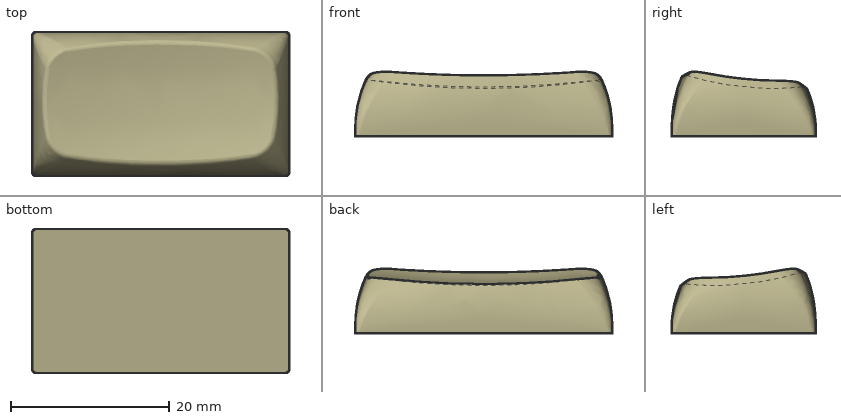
import cadquery as cq
import math

length = 32.57
width = 18.3
corner_setback = 0.6

reference_height = 7.5
wall_inset = 1.55
wall_power = 2.4
long_bulge = 0.7
end_bulge = 0.33
base_bow = 0.03
reference_tilt = 0.08
section_heights = [0, 2.28, 4.55, 6.85, 9.12]

long_seam_linear = 1.55
long_seam_quadratic = 2.48
end_seam_linear = 1.3
end_seam_quadratic = 3.0

dish_bottom = 6.05
dish_center_y = 3.75
dish_radius_x = 99.35
dish_radius_y = 37.13
dish_half_width = 16.3
rim_fillet = 0.6


def corner(before, after):
    """Rounding between two walls, tangent to both and close to a circular arc."""
    start = before.endPoint()
    end = after.startPoint()
    leaving = before.tangentAt(1)
    arriving = after.tangentAt(0)
    turn = leaving.getAngle(arriving)
    radius = (end - start).Length / (2 * math.sin(turn / 2))
    handle = 4 / 3 * math.tan(turn / 4) * radius
    return cq.Edge.makeBezier([start, start + leaving * handle, end - arriving * handle, end])


def section(height):
    """Closed, bowed and round-cornered outline on a plane tilted about X."""
    rise = height / reference_height
    inset = wall_inset * rise**wall_power
    half_x = length / 2 - inset
    half_y = width / 2 - inset
    long_bow = base_bow + (long_bulge - base_bow) * rise
    end_bow = base_bow + (end_bulge - base_bow) * rise
    seam_x = length / 2 - corner_setback - long_seam_linear * rise - long_seam_quadratic * rise**2
    seam_y = width / 2 - corner_setback - end_seam_linear * rise - end_seam_quadratic * rise**2
    long_end = (seam_x, half_y - long_bow)
    short_end = (half_x - end_bow, seam_y)

    def wall(start, middle, end):
        points = []
        for x, y in (start, middle, end):
            points.append(cq.Vector(x, y, height - reference_tilt * rise * y))
        return cq.Edge.makeThreePointArc(*points)

    x, y = long_end
    rear = wall((-x, y), (0, half_y), (x, y))
    front = wall((x, -y), (0, -half_y), (-x, -y))
    x, y = short_end
    right = wall((x, y), (half_x, 0), (x, -y))
    left = wall((-x, -y), (-half_x, 0), (-x, y))
    walls = [rear, right, front, left]

    edges = []
    for current, following in zip(walls, walls[1:] + walls[:1]):
        edges.append(current)
        edges.append(corner(current, following))
    return cq.Wire.assembleEdges(edges)


def dish():
    """Arc across Y, revolved about a high axis parallel to Y."""
    edge_rise = dish_radius_y - math.sqrt(dish_radius_y**2 - dish_half_width**2)
    axis_height = dish_bottom + dish_radius_x
    near = dish_center_y - dish_half_width
    far = dish_center_y + dish_half_width
    edge_height = dish_bottom + edge_rise
    return (
        cq.Workplane("YZ")
        .moveTo(near, edge_height)
        .threePointArc((dish_center_y, dish_bottom), (far, edge_height))
        .lineTo(far, axis_height)
        .lineTo(near, axis_height)
        .close()
        .revolve(360, (near, axis_height), (far, axis_height))
        .rotate((0, near, axis_height), (0, far, axis_height), 180)
    )


body = cq.Workplane(cq.Solid.makeLoft([section(height) for height in section_heights]))
dished = body.cut(dish())
result = dished.faces(cq.selectors.NearestToPointSelector((0, 0, dish_bottom))).edges().fillet(rim_fillet)